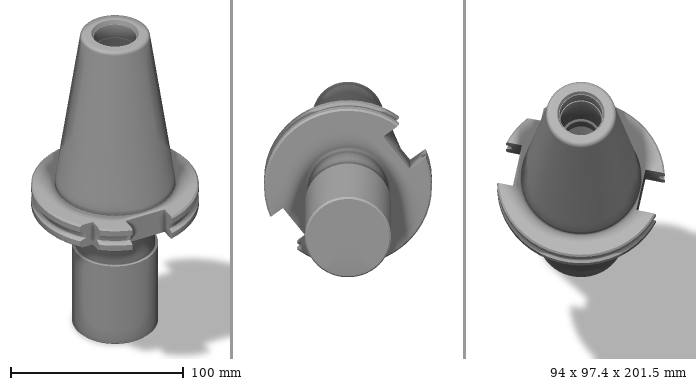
import cadquery as cq
import math

total_height = 201.5
gauge_z = 99.8
flange_top_z = 96.8
flange_bottom_z = 81.0
collar_top_z = 55.0
joint_z = 44.0

gauge_radius = 69.8 / 2
taper_slope = 3.5 / 24
tip_radius = gauge_radius - taper_slope * (total_height - gauge_z)
tip_fillet = 2.5

flange_radius = 97.4 / 2
flange_chamfer = 1.0
flange_fillet = 0.6
groove_center_z = 89.0
groove_root_radius = 45.8
groove_root_width = 3.6
groove_mouth_width = 6.5

slot_width = 25.6
left_slot_floor = 35.5
right_slot_floor = 37.7
notch_corner = 30.0

neck_radius = 46.5 / 2
neck_fillet = 2.0
nose_radius = 50.0 / 2
nose_chamfer = 1.0

mouth_radius = 27.5 / 2
mouth_bottom_radius = 25.6 / 2
pilot_radius = 25.0 / 2
pilot_depth = 11.5
thread_radius = 24.0 / 2
thread_depth = 40.3
bore_radius = 21.0 / 2
bore_depth = 48.4
center_hole_radius = 10.0 / 2
center_hole_length = 10.0
mouth_angle = math.radians(20)
drill_angle = math.radians(59)


def make_revolved_blank():
    """Taper, flange blank, neck and collar as one turned shape."""
    profile = (
        cq.Workplane("XZ")
        .moveTo(0, joint_z)
        .lineTo(nose_radius, joint_z)
        .lineTo(nose_radius, collar_top_z)
        .lineTo(neck_radius, collar_top_z)
        .lineTo(neck_radius, flange_bottom_z - neck_fillet)
        .radiusArc((neck_radius + neck_fillet, flange_bottom_z), neck_fillet)
        .lineTo(flange_radius - flange_chamfer, flange_bottom_z)
        .lineTo(flange_radius, flange_bottom_z + flange_chamfer)
        .lineTo(flange_radius, groove_center_z - groove_mouth_width / 2)
        .lineTo(groove_root_radius, groove_center_z - groove_root_width / 2)
        .lineTo(groove_root_radius, groove_center_z + groove_root_width / 2)
        .lineTo(flange_radius, groove_center_z + groove_mouth_width / 2)
        .lineTo(flange_radius, flange_top_z - flange_chamfer)
        .lineTo(flange_radius - flange_chamfer, flange_top_z)
        .lineTo(gauge_radius + flange_fillet, flange_top_z)
        .radiusArc((gauge_radius, flange_top_z + flange_fillet), flange_fillet)
        .lineTo(gauge_radius, gauge_z)
        .lineTo(tip_radius, total_height)
        .lineTo(0, total_height)
        .close()
    )
    blank = profile.revolve(360, (0, 0, 0), (0, 1, 0))
    return blank.faces(">Z").edges().fillet(tip_fillet)


def make_flange_cutter(center_x, center_y, width):
    """Prism through the full flange thickness, long enough along X to reach past the rim."""
    height = flange_top_z - flange_bottom_z
    base = cq.Workplane("XY").workplane(offset=flange_bottom_z)
    return base.center(center_x, center_y).rect(flange_radius, width).extrude(height)


def make_flange_cutters():
    """Two drive slots of different depth and one corner notch."""
    half_length = flange_radius / 2
    notch_center = notch_corner + half_length
    return [
        make_flange_cutter(right_slot_floor + half_length, 0, slot_width),
        make_flange_cutter(-left_slot_floor - half_length, 0, slot_width),
        make_flange_cutter(notch_center, -notch_center, flange_radius),
    ]


def make_bore():
    """Countersunk pilot, thread and tapping bore in steps, then a centre hole with a conical bottom."""
    mouth_z = total_height - (mouth_radius - mouth_bottom_radius) / math.tan(mouth_angle)
    pilot_z = total_height - pilot_depth
    thread_z = total_height - thread_depth
    bore_z = total_height - bore_depth
    cone_z = bore_z - (bore_radius - center_hole_radius) / math.tan(drill_angle)
    hole_z = cone_z - center_hole_length
    point_z = hole_z - center_hole_radius / math.tan(drill_angle)
    profile = (
        cq.Workplane("XZ")
        .moveTo(0, total_height)
        .lineTo(mouth_radius, total_height)
        .lineTo(mouth_bottom_radius, mouth_z)
        .lineTo(pilot_radius, mouth_z)
        .lineTo(pilot_radius, pilot_z)
        .lineTo(thread_radius, pilot_z)
        .lineTo(thread_radius, thread_z)
        .lineTo(bore_radius, thread_z)
        .lineTo(bore_radius, bore_z)
        .lineTo(center_hole_radius, cone_z)
        .lineTo(center_hole_radius, hole_z)
        .lineTo(0, point_z)
        .close()
    )
    return profile.revolve(360, (0, 0, 0), (0, 1, 0))


def make_holder():
    body = make_revolved_blank().cut(make_bore())
    for cutter in make_flange_cutters():
        body = body.cut(cutter)
    return body


def make_nose():
    """Lower cylinder seated against the holder collar."""
    return cq.Workplane("XY").circle(nose_radius).extrude(joint_z).faces("<Z").edges().chamfer(nose_chamfer)


holder = make_holder()
nose = make_nose()
result = cq.Compound.makeCompound([holder.val(), nose.val()])